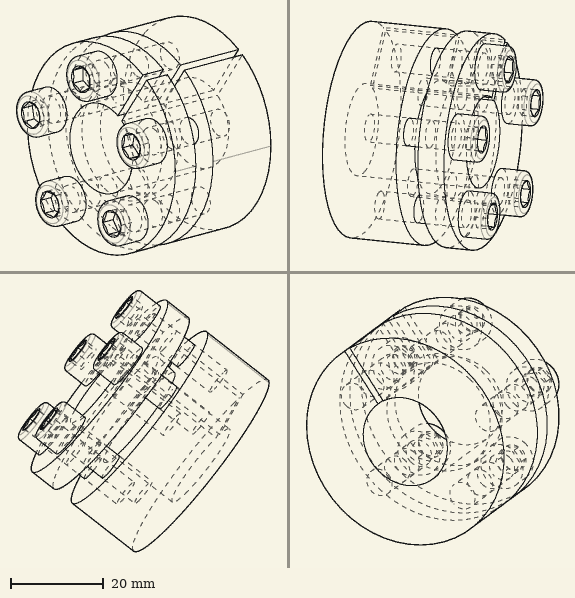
import cadquery as cq
import math

OUTER_DIAMETER = 46.9
BORE_DIAMETER = 20.0
FLANGE_THICKNESS = 6.0
NECK_LENGTH = 5.0
HUB_LENGTH = 17.0
NECK_FRONT_DIAMETER = 25.4
NECK_TAPER_ANGLE = 5.0
SLIT_WIDTH = 1.5

SCREW_COUNT = 5
BOLT_CIRCLE_DIAMETER = 33.5
HEAD_DIAMETER = 10.0
HEAD_HEIGHT = 6.0
HEAD_FILLET = 0.8
SHANK_DIAMETER = 6.0
THREAD_ENGAGEMENT = 1.5 * SHANK_DIAMETER
SOCKET_ACROSS_FLATS = 5.0
SOCKET_MOUTH_DIAMETER = 5.85
SOCKET_LEAD_IN_ANGLE = 30.0
SOCKET_DEPTH = 3.0
SOCKET_HEX_SIDES = 6

HUB_FRONT_Y = FLANGE_THICKNESS + NECK_LENGTH
HUB_BACK_Y = HUB_FRONT_Y + HUB_LENGTH
SHANK_LENGTH = HUB_FRONT_Y + THREAD_ENGAGEMENT
BOLT_CIRCLE_RADIUS = BOLT_CIRCLE_DIAMETER / 2
SCREW_PITCH_ANGLE = 360.0 / SCREW_COUNT
SLIT_ANGLE = SCREW_PITCH_ANGLE / 2


def cylinder_along_y(diameter, length, start_y, z):
    """Cylinder parallel to +Y that starts at start_y, on an axis at height z."""
    start = cq.Vector(0, start_y, z)
    return cq.Workplane(cq.Solid.makeCylinder(diameter / 2, length, start, cq.Vector(0, 1, 0)))


def turn_about_axis(body, angle):
    """Turn a body about the Y axis, from +Z toward +X."""
    return body.rotate((0, 0, 0), (0, 1, 0), angle)


def make_clamp():
    outer_radius = OUTER_DIAMETER / 2
    bore_radius = BORE_DIAMETER / 2
    neck_front_radius = NECK_FRONT_DIAMETER / 2
    neck_back_radius = neck_front_radius - NECK_LENGTH * math.tan(math.radians(NECK_TAPER_ANGLE))

    clamp = (
        cq.Workplane("XY")
        .moveTo(bore_radius, 0)
        .lineTo(outer_radius, 0)
        .lineTo(outer_radius, FLANGE_THICKNESS)
        .lineTo(neck_front_radius, FLANGE_THICKNESS)
        .lineTo(neck_back_radius, HUB_FRONT_Y)
        .lineTo(outer_radius, HUB_FRONT_Y)
        .lineTo(outer_radius, HUB_BACK_Y)
        .lineTo(bore_radius, HUB_BACK_Y)
        .close()
        .revolve(360, (0, 0, 0), (0, 1, 0))
    )

    slit = cq.Workplane("XY").box(
        SLIT_WIDTH, HUB_BACK_Y, OUTER_DIAMETER, centered=(True, False, False)
    )
    clamp = clamp.cut(turn_about_axis(slit, SLIT_ANGLE))

    hole = cylinder_along_y(SHANK_DIAMETER, SHANK_LENGTH, 0, BOLT_CIRCLE_RADIUS)
    for index in range(SCREW_COUNT):
        clamp = clamp.cut(turn_about_axis(hole, index * SCREW_PITCH_ANGLE))
    return clamp


def make_socket():
    """Hexagonal drive recess with a conical lead-in at its mouth, for the screw at +Z."""
    hex_corner_diameter = SOCKET_ACROSS_FLATS / math.cos(math.pi / SOCKET_HEX_SIDES)
    top_plane = cq.Plane(origin=(0, -HEAD_HEIGHT, BOLT_CIRCLE_RADIUS), xDir=(0, 0, 1), normal=(0, 1, 0))
    hexagon = (
        cq.Workplane(top_plane).polygon(SOCKET_HEX_SIDES, hex_corner_diameter).extrude(SOCKET_DEPTH)
    )
    lead_in_width = (SOCKET_MOUTH_DIAMETER - SOCKET_ACROSS_FLATS) / 2
    lead_in_depth = lead_in_width * math.tan(math.radians(SOCKET_LEAD_IN_ANGLE))
    lead_in = cq.Solid.makeCone(
        SOCKET_MOUTH_DIAMETER / 2,
        SOCKET_ACROSS_FLATS / 2,
        lead_in_depth,
        top_plane.origin,
        top_plane.zDir,
    )
    return hexagon.union(cq.Workplane(lead_in))


def make_screw(angle):
    head = cylinder_along_y(HEAD_DIAMETER, HEAD_HEIGHT, -HEAD_HEIGHT, BOLT_CIRCLE_RADIUS)
    head = head.faces("<Y").edges().fillet(HEAD_FILLET)
    shank = cylinder_along_y(SHANK_DIAMETER, SHANK_LENGTH, 0, BOLT_CIRCLE_RADIUS)
    screw = head.union(shank).cut(make_socket())
    return turn_about_axis(screw, angle)


clamp = make_clamp()
screws = [make_screw(index * SCREW_PITCH_ANGLE) for index in range(SCREW_COUNT)]

result = cq.Compound.makeCompound([clamp.val(), *[screw.val() for screw in screws]])